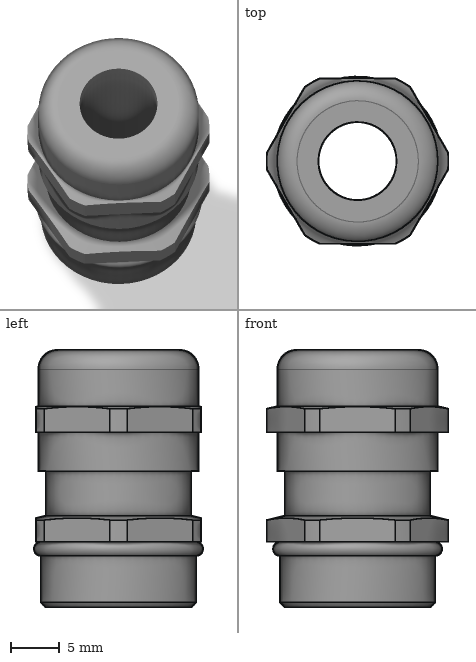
import cadquery as cq
import math

total_height = 26.5
ring_bottom = 5.3
lower_hex_bottom = 6.73
cap_bottom = 14.02
upper_hex_bottom = 18.0
lower_hex_height = 2.7
upper_hex_height = 2.9

bore_diameter = 8.0
thread_diameter = 16.0
neck_diameter = 15.0
cap_diameter = 16.5
ring_diameter = 17.4

thread_chamfer = 0.53
cap_fillet = 2.01

across_flats = 17.0
corner_diameter = 18.7
hex_chamfer_width = 1.85
hex_chamfer_drop = 0.45


def cylinder(diameter, bottom, top):
    return cq.Workplane("XY").workplane(offset=bottom).circle(diameter / 2).extrude(top - bottom)


def hexagon(bottom, height):
    """Hexagon with corners on X, rounded corners and a conical chamfer on top."""
    prism = (
        cq.Workplane("XY")
        .workplane(offset=bottom)
        .polygon(6, across_flats / math.cos(math.pi / 6))
        .extrude(height)
    )
    turned_blank = cylinder(corner_diameter, bottom, bottom + height)
    turned_blank = turned_blank.faces(">Z").chamfer(hex_chamfer_drop, hex_chamfer_width)
    return prism.intersect(turned_blank)


def sealing_ring():
    """Ring with a half-round outer side, seated under the lower hexagon."""
    section_radius = (lower_hex_bottom - ring_bottom) / 2
    outer_radius = ring_diameter / 2
    flat_radius = outer_radius - section_radius
    return (
        cq.Workplane("XZ")
        .moveTo(0, ring_bottom)
        .lineTo(flat_radius, ring_bottom)
        .threePointArc((outer_radius, ring_bottom + section_radius), (flat_radius, lower_hex_bottom))
        .lineTo(0, lower_hex_bottom)
        .close()
        .revolve(360, (0, 0), (0, 1))
    )


thread = cylinder(thread_diameter, 0, lower_hex_bottom).faces("<Z").chamfer(thread_chamfer)
neck = cylinder(neck_diameter, lower_hex_bottom, cap_bottom)
cap = cylinder(cap_diameter, cap_bottom, total_height).faces(">Z").edges().fillet(cap_fillet)

body = thread.union(neck).union(cap).union(sealing_ring())
body = body.union(hexagon(lower_hex_bottom, lower_hex_height))
body = body.union(hexagon(upper_hex_bottom, upper_hex_height))

result = body.cut(cylinder(bore_diameter, 0, total_height))